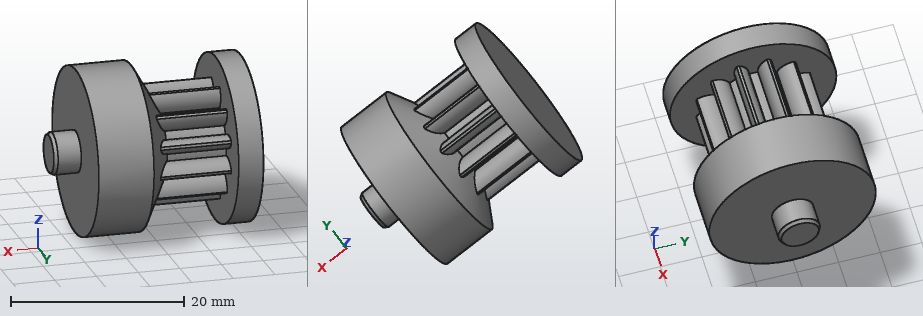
import cadquery as cq
import math

overall_length = 23.0
flange_width = 3.0
body_end = 19.78
body_start = 13.15

outer_radius = 10.0
spindle_radius = 2.5
spindle_chamfer_length = 0.44
spindle_chamfer_depth = 0.25

tooth_count = 12
root_radius = 4.74
pitch_radius = 6.0
tip_radius = 7.05
root_half_angle = 8.35
pitch_half_angle = 90 / tooth_count
tip_half_angle = 1.4
tooth_pitch = 360 / tooth_count

cone_angle = 60.0
cone_length = (outer_radius - root_radius) / math.tan(math.radians(cone_angle))
cone_start = body_start - cone_length


def polar(radius, angle):
    """Point in the YZ plane at an angle in degrees from +Y."""
    return radius * math.cos(math.radians(angle)), radius * math.sin(math.radians(angle))


def make_turned_body():
    """Flange, pinion core, conical shoulder, drum and spindle as one revolution."""
    profile = (
        cq.Workplane("XY")
        .lineTo(0, outer_radius)
        .lineTo(flange_width, outer_radius)
        .lineTo(flange_width, root_radius)
        .lineTo(cone_start, root_radius)
        .lineTo(body_start, outer_radius)
        .lineTo(body_end, outer_radius)
        .lineTo(body_end, spindle_radius)
        .lineTo(overall_length - spindle_chamfer_length, spindle_radius)
        .lineTo(overall_length, spindle_radius - spindle_chamfer_depth)
        .lineTo(overall_length, 0)
        .close()
    )
    return profile.revolve(360, (0, 0, 0), (1, 0, 0))


def make_pinion():
    """Toothed bar with convex flanks, running from the flange into the drum."""
    outline = cq.Workplane("YZ", origin=(flange_width, 0, 0))
    outline = outline.moveTo(*polar(root_radius, tooth_pitch / 2 - root_half_angle))
    for index in range(tooth_count):
        center = (index + 0.5) * tooth_pitch
        next_gap = center + tooth_pitch / 2
        next_tooth = center + tooth_pitch
        outline = (
            outline
            .threePointArc(polar(pitch_radius, center - pitch_half_angle),
                           polar(tip_radius, center - tip_half_angle))
            .threePointArc(polar(tip_radius, center),
                           polar(tip_radius, center + tip_half_angle))
            .threePointArc(polar(pitch_radius, center + pitch_half_angle),
                           polar(root_radius, center + root_half_angle))
            .threePointArc(polar(root_radius, next_gap),
                           polar(root_radius, next_tooth - root_half_angle))
        )
    return outline.close().extrude(body_start - flange_width)


result = make_turned_body().union(make_pinion())